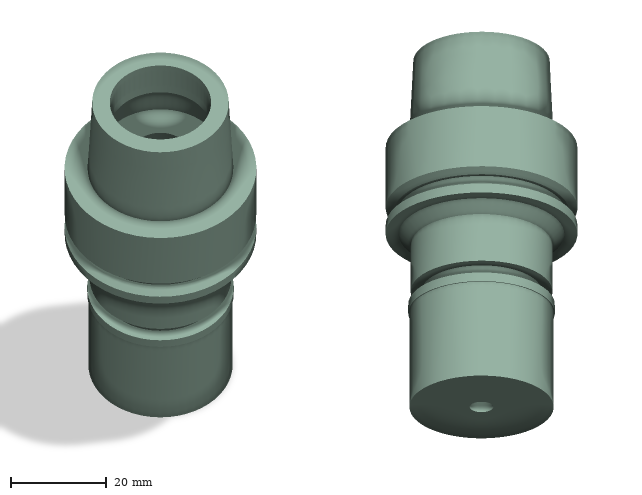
import cadquery as cq

TOTAL_HEIGHT = 80.0
FLANGE_TOP = 60.0
FLANGE_BOTTOM = 40.0

SHANK_TOP_RADIUS = 14.2
SHANK_BASE_RADIUS = 15.2

FLANGE_RADIUS = 20.0
GROOVE_RADIUS = 17.5
GROOVE_LIP_RADIUS = 18.3
GROOVE_TOP = 45.0
GROOVE_BOTTOM = 43.1
GROOVE_CHAMFER_HEIGHT = 1.0
CONE_TOP_RADIUS = 17.3
CONE_HEIGHT = 2.5

BODY_RADIUS = 14.8
BODY_BOTTOM = 26.7

NUT_RADIUS = 15.0
NUT_COLLAR_RADIUS = 15.3
NUT_COLLAR_HEIGHT = 2.0
NUT_TOP = 23.8

COLLET_RADIUS = 12.6

SOCKET_RADIUS = 10.6
SOCKET_LIP_DEPTH = 8.2
UNDERCUT_RADIUS = 12.8
SOCKET_DEPTH = 15.8
COUNTERBORE_RADIUS = 6.1
COUNTERBORE_DEPTH = 4.0
THROUGH_RADIUS = 2.5


def revolve_profile(points):
    """Revolve a closed (radius, height) outline about the Z axis."""
    outline = cq.Workplane("XZ").polyline(points).close()
    return outline.revolve(360, (0, 0, 0), (0, 1, 0))


def ring(outer_radius, inner_radius, bottom, top):
    """A plain tube between two heights."""
    base = cq.Workplane("XY").workplane(offset=bottom)
    return base.circle(outer_radius).circle(inner_radius).extrude(top - bottom)


def make_holder():
    """Tapered shank, grooved flange and body, with the stepped bore inside."""
    cone_bottom = FLANGE_BOTTOM - CONE_HEIGHT
    socket_floor = TOTAL_HEIGHT - SOCKET_DEPTH
    lip_bottom = TOTAL_HEIGHT - SOCKET_LIP_DEPTH
    counterbore_floor = socket_floor - COUNTERBORE_DEPTH
    outside = [
        (BODY_RADIUS, BODY_BOTTOM),
        (BODY_RADIUS, cone_bottom),
        (CONE_TOP_RADIUS, FLANGE_BOTTOM),
        (FLANGE_RADIUS, FLANGE_BOTTOM),
        (FLANGE_RADIUS, GROOVE_BOTTOM - GROOVE_CHAMFER_HEIGHT),
        (GROOVE_LIP_RADIUS, GROOVE_BOTTOM),
        (GROOVE_RADIUS, GROOVE_BOTTOM),
        (GROOVE_RADIUS, GROOVE_TOP),
        (GROOVE_LIP_RADIUS, GROOVE_TOP),
        (FLANGE_RADIUS, GROOVE_TOP + GROOVE_CHAMFER_HEIGHT),
        (FLANGE_RADIUS, FLANGE_TOP),
        (SHANK_BASE_RADIUS, FLANGE_TOP),
        (SHANK_TOP_RADIUS, TOTAL_HEIGHT),
    ]
    bore = [
        (SOCKET_RADIUS, TOTAL_HEIGHT),
        (SOCKET_RADIUS, lip_bottom),
        (UNDERCUT_RADIUS, lip_bottom),
        (UNDERCUT_RADIUS, socket_floor),
        (COUNTERBORE_RADIUS, socket_floor),
        (COUNTERBORE_RADIUS, counterbore_floor),
        (THROUGH_RADIUS, counterbore_floor),
        (THROUGH_RADIUS, BODY_BOTTOM),
    ]
    return revolve_profile(outside + bore)


def make_collet():
    """Tube that seats against the body and runs down through the nut."""
    return ring(COLLET_RADIUS, THROUGH_RADIUS, 0, BODY_BOTTOM)


def make_nut():
    """Sleeve around the collet with a slightly wider collar at its top."""
    collar_bottom = NUT_TOP - NUT_COLLAR_HEIGHT
    sleeve = ring(NUT_RADIUS, COLLET_RADIUS, 0, collar_bottom)
    collar = ring(NUT_COLLAR_RADIUS, COLLET_RADIUS, collar_bottom, NUT_TOP)
    return sleeve.union(collar)


holder = make_holder()
collet = make_collet()
nut = make_nut()

result = cq.Compound.makeCompound([holder.val(), collet.val(), nut.val()])